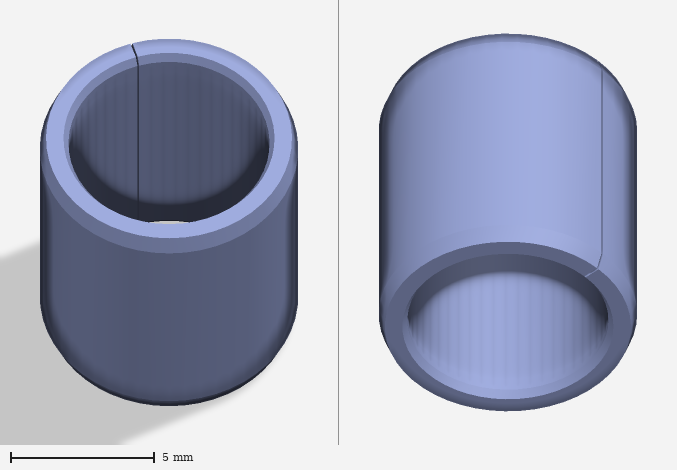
import cadquery as cq
import math

length = 10.0
outer_radius = 4.5
inner_radius = 3.5

outer_taper_length = 0.6
outer_taper_angle = 20.0
outer_taper_depth = outer_taper_length * math.tan(math.radians(outer_taper_angle))

inner_taper_length = 0.3
inner_taper_angle = 30.0
inner_taper_depth = inner_taper_length * math.tan(math.radians(inner_taper_angle))

slit_angle = 1.0


def wall_section():
    """Wall section on the -X side, tapered at both ends inside and out."""
    end_outer_radius = outer_radius - outer_taper_depth
    end_inner_radius = inner_radius + inner_taper_depth
    outline = [
        (-end_inner_radius, 0),
        (-end_outer_radius, 0),
        (-outer_radius, outer_taper_length),
        (-outer_radius, length - outer_taper_length),
        (-end_outer_radius, length),
        (-end_inner_radius, length),
        (-inner_radius, length - inner_taper_length),
        (-inner_radius, inner_taper_length),
    ]
    return cq.Workplane("XZ").polyline(outline).close()


result = wall_section().revolve(360 - slit_angle, (0, 0), (0, 1))